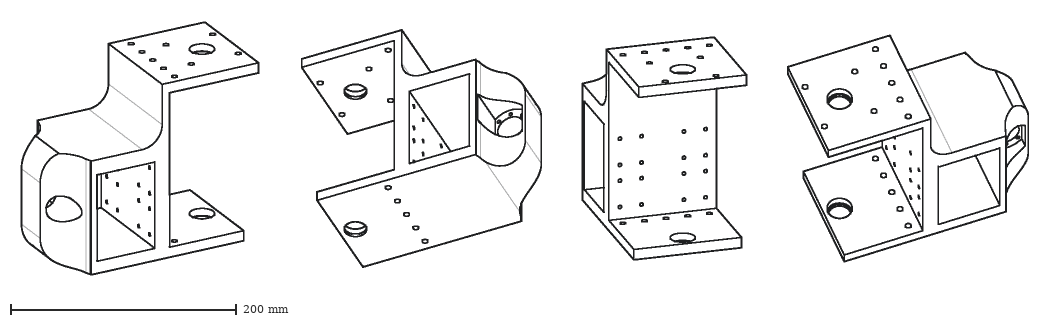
import cadquery as cq
import math

width = 100.0
length = 203.0
height = 170.1

plate_thickness = 10.0
bottom_plate_end = 188.0
wall_back = 113.0
upright_thickness = 7.5
upright_front = wall_back - upright_thickness
block_height = 110.8
step_fillet = 20.0

window_front = 39.8
window_rear = 98.3
window_floor = 12.0
window_ceiling = 96.0

nose_radius = 30.0
bore_y = 18.0
bore_z = 57.0
web_width = 35.1
hollow_radius = (width - web_width) / 2
blend_radius = 13.2
blend_inset = 6.0
ledge_width = 1.5

bore_diameter = 25.0
seat_diameter = 42.0
seat_flat_width = 29.8
seat_recess = 8.3
seat_x = seat_recess - web_width / 2
screw_circle_radius = 16.0
screw_diameter = 3.0
screw_depth = 10.2
screw_angles = (45, 90, 135, 225, 270, 315)

bearing_y = 173.0
bearing_seat_diameter = 22.3
bearing_bore_diameter = 20.0
bearing_seat_depth = 7.0
mount_diameter = 5.0
corner_spacing = 47.3
hole_pitch = 20.0
plate_row_y = 123.2
plate_row_count = 5

wall_hole_diameter = 3.0
wall_columns = (-39.8, -19.7, 19.7, 39.8)
wall_row_z = (window_floor + window_ceiling) / 2
wall_row_inner_gap = 15.0
wall_row_outer_gap = 25.0


def side_profile():
    """Bracket outline in the YZ plane, extruded across the full width."""
    diagonal = nose_radius * math.sqrt(0.5)
    top_arc_z = 2 * bore_z - nose_radius
    rise = block_height - top_arc_z
    top_cut_y = nose_radius - math.sqrt(nose_radius**2 - rise**2)
    mid_angle = math.asin(rise / nose_radius) / 2
    top_mid_y = nose_radius * (1 - math.cos(mid_angle))
    top_mid_z = top_arc_z + nose_radius * math.sin(mid_angle)
    fillet_mid = step_fillet * (1 - math.sqrt(0.5))
    return (
        cq.Workplane("YZ")
        .moveTo(nose_radius, 0)
        .lineTo(bottom_plate_end, 0)
        .lineTo(bottom_plate_end, plate_thickness)
        .lineTo(wall_back, plate_thickness)
        .lineTo(wall_back, height - plate_thickness)
        .lineTo(length, height - plate_thickness)
        .lineTo(length, height)
        .lineTo(upright_front, height)
        .lineTo(upright_front, block_height + step_fillet)
        .threePointArc(
            (upright_front - fillet_mid, block_height + fillet_mid),
            (upright_front - step_fillet, block_height),
        )
        .lineTo(top_cut_y, block_height)
        .threePointArc((top_mid_y, top_mid_z), (0, top_arc_z))
        .lineTo(0, nose_radius)
        .threePointArc((nose_radius - diagonal, nose_radius - diagonal), (nose_radius, 0))
        .close()
        .extrude(width)
        .translate((-width / 2, 0, 0))
    )


def side_hollow():
    """Scooped recess beside the web on the -X side, over the block height."""
    side = -width / 2
    blend_angle = math.acos(blend_inset / hollow_radius)
    mid_angle = blend_angle / 2
    blend_x = side + (hollow_radius + blend_radius) * math.cos(blend_angle)
    blend_y = (hollow_radius + blend_radius) * math.sin(blend_angle)

    def on_hollow(angle):
        return (side + hollow_radius * math.cos(angle), hollow_radius * math.sin(angle))

    def on_blend(x):
        return (x, blend_y - math.sqrt(blend_radius**2 - (x - blend_x) ** 2))

    ledge_x, ledge_y = on_blend(side + ledge_width)
    return (
        cq.Workplane("XY")
        .moveTo(side, 0)
        .lineTo(side + hollow_radius, 0)
        .threePointArc(on_hollow(mid_angle), on_hollow(blend_angle))
        .threePointArc(on_blend(side + (ledge_width + blend_inset) / 2), (ledge_x, ledge_y))
        .lineTo(side, ledge_y)
        .close()
        .extrude(block_height)
    )


def motor_seat():
    """Double-D pocket from the -X side, recessed into the web."""
    pocket_depth = seat_x + width / 2
    disc = cq.Workplane("YZ", origin=(-width / 2, bore_y, bore_z)).circle(seat_diameter / 2)
    flats = cq.Workplane("YZ", origin=(-width / 2, bore_y, bore_z)).rect(seat_flat_width, seat_diameter)
    return disc.extrude(pocket_depth).intersect(flats.extrude(pocket_depth))


def motor_holes():
    """Bore through the web and blind screw holes around it."""
    seat_plane = cq.Workplane("YZ", origin=(seat_x, bore_y, bore_z))
    points = [
        (
            screw_circle_radius * math.cos(math.radians(angle)),
            screw_circle_radius * math.sin(math.radians(angle)),
        )
        for angle in screw_angles
    ]
    screws = seat_plane.pushPoints(points).circle(screw_diameter / 2).extrude(screw_depth)
    bore = seat_plane.circle(bore_diameter / 2).extrude(width / 2 - seat_x)
    return bore.union(screws)


def bearing_seat(plate_top):
    """Stepped hole in a plate, wide from above."""
    plane = cq.Workplane("XY", origin=(0, bearing_y, plate_top))
    through = plane.circle(bearing_bore_diameter / 2).extrude(-plate_thickness)
    return through.union(plane.circle(bearing_seat_diameter / 2).extrude(-bearing_seat_depth))


def plate_holes():
    """Row of five through both plates, and four holes around the top bearing."""
    row = (
        cq.Workplane("XY", origin=(0, plate_row_y, 0))
        .rarray(hole_pitch, 2, plate_row_count, 1)
        .circle(mount_diameter / 2)
        .extrude(height)
    )
    corners = (
        cq.Workplane("XY", origin=(0, bearing_y, height))
        .rect(corner_spacing, corner_spacing, forConstruction=True)
        .vertices()
        .circle(mount_diameter / 2)
        .extrude(-plate_thickness)
    )
    return row.union(corners)


def wall_holes():
    """Four rows of holes through the rear wall, two columns on each side."""
    inner = wall_row_inner_gap / 2
    outer = inner + wall_row_outer_gap
    points = [
        (column, row)
        for column in wall_columns
        for row in (-outer, -inner, inner, outer)
    ]
    return (
        cq.Workplane("XZ", origin=(0, wall_back, wall_row_z))
        .pushPoints(points)
        .circle(wall_hole_diameter / 2)
        .extrude(wall_back - window_rear)
    )


window = cq.Workplane("XY").box(
    width,
    window_rear - window_front,
    window_ceiling - window_floor,
    centered=(True, False, False),
).translate((0, window_front, window_floor))

hollow = side_hollow()

result = (
    side_profile()
    .cut(window)
    .cut(hollow)
    .cut(hollow.mirror("YZ"))
    .cut(motor_seat())
    .cut(motor_holes())
    .cut(bearing_seat(height))
    .cut(bearing_seat(plate_thickness))
    .cut(plate_holes())
    .cut(wall_holes())
)